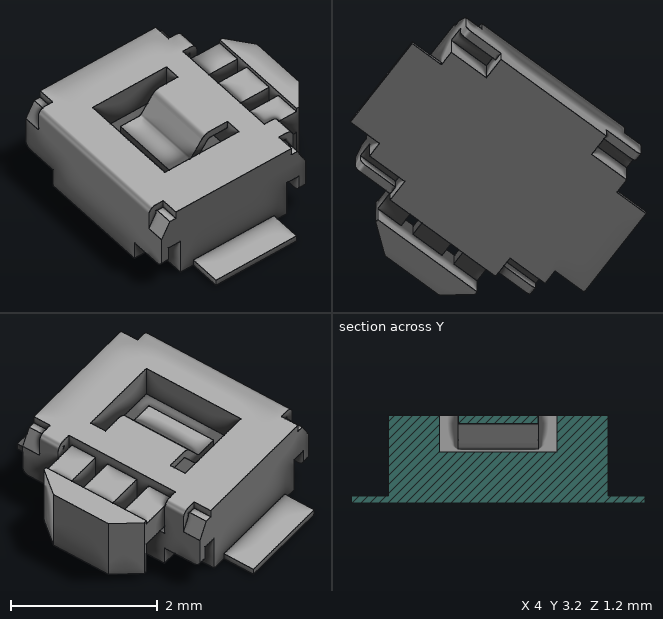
import cadquery as cq
import math


body_length = 3.0
body_width = 2.5
body_height = 1.2
sheet = 0.12
cover_bend_radius = 0.12
half_length = body_length / 2
half_width = body_width / 2
base_top = body_height - sheet

base_chamfer_width = 0.145
base_chamfer_height = 0.26
block_length = 1.8
block_height = 0.59
corner_recess = 0.33

notch_depth = 0.25
corner_notch_length = 0.28
flange_bottom = 0.3
flange_corner_radius = 0.1

window_length = 1.6
window_width = 1.28
window_floor = 0.7
tongue_length = 1.095
tongue_bend_start = 0.345
tongue_bend_end = -0.045
tongue_tip = -0.355
tongue_inner_radius = 0.07
tongue_angle = math.radians(53)

overall_length = 4.0
tab_width = 1.4
tab_thickness = 0.1

button_reach = 0.7
head_length = 1.7
head_tip_length = 0.93
head_depth = 0.35
head_bevel_depth = 0.305
head_bottom = 0.1
head_top = 1.1
stem_bottom = 0.64
stem_top = 1.04
center_leg_length = 0.495
side_leg_length = 0.4
stem_embed = 0.08


def box(length, width, bottom, top, x=0.0, y=0.0):
    """Box centred on (x, y) that spans bottom to top in Z."""
    return cq.Workplane("XY", origin=(x, y, bottom)).rect(length, width).extrude(top - bottom)


def extrude_along_x(profile, length):
    """Extrude a closed YZ profile symmetrically about X = 0."""
    return profile.close().extrude(length / 2, both=True)


def make_base():
    """Block with chamfered long edges, relieved below at its four corners."""
    profile = (
        cq.Workplane("YZ")
        .moveTo(-half_width, 0)
        .lineTo(half_width, 0)
        .lineTo(half_width, base_top - base_chamfer_height)
        .lineTo(half_width - base_chamfer_width, base_top)
        .lineTo(-half_width + base_chamfer_width, base_top)
        .lineTo(-half_width, base_top - base_chamfer_height)
    )
    base = extrude_along_x(profile, body_length)
    recess_length = (body_length - block_length) / 2
    recess_x = (body_length + block_length) / 4
    recess_y = half_width - corner_recess / 2
    for x in (-recess_x, recess_x):
        for y in (-recess_y, recess_y):
            base = base.cut(box(recess_length, corner_recess, 0, block_height, x, y))
    notch_y = half_width - notch_depth / 2
    base = base.cut(box(block_length, notch_depth, block_height, base_top, y=notch_y))
    return base.cut(box(window_length, window_width, window_floor, base_top))


def make_cover():
    """Top plate with a flange folded down along each long side."""
    inner_width = body_width - 2 * sheet
    cover = (
        box(body_length, body_width, flange_bottom, body_height)
        .edges("|X and >Z")
        .fillet(cover_bend_radius)
        .edges("|Y and <Z")
        .fillet(flange_corner_radius)
        .cut(box(body_length, inner_width, flange_bottom, base_top))
    )
    notch_x = half_length - corner_notch_length / 2
    notch_y = half_width - notch_depth / 2
    for y in (-notch_y, notch_y):
        cover = cover.cut(box(block_length, notch_depth, flange_bottom, block_height, y=y))
        for x in (-notch_x, notch_x):
            cover = cover.cut(box(corner_notch_length, notch_depth, block_height, body_height, x, y))
    cover = cover.cut(box(block_length, notch_depth, block_height, body_height, y=notch_y))
    return cover.cut(box(window_length, window_width, base_top, body_height))


def make_tongue():
    """Strip of constant thickness that is bent down and then level again."""
    inner = tongue_inner_radius
    outer = inner + sheet
    sine = math.sin(tongue_angle)
    cosine = math.cos(tongue_angle)
    half_sine = math.sin(tongue_angle / 2)
    half_cosine = math.cos(tongue_angle / 2)
    slope_run = tongue_bend_start - tongue_bend_end - (inner + outer) * sine
    drop = slope_run * math.tan(tongue_angle) + (inner + outer) * (1 - cosine)
    upper_z = body_height - outer
    lower_z = body_height - drop + inner

    def upper_bend(radius, side, up):
        return (tongue_bend_start - radius * side, upper_z + radius * up)

    def lower_bend(radius, side, up):
        return (tongue_bend_end + radius * side, lower_z - radius * up)

    profile = (
        cq.Workplane("YZ")
        .moveTo(window_width / 2, body_height)
        .lineTo(tongue_bend_start, body_height)
        .threePointArc(upper_bend(outer, half_sine, half_cosine), upper_bend(outer, sine, cosine))
        .lineTo(*lower_bend(inner, sine, cosine))
        .threePointArc(lower_bend(inner, half_sine, half_cosine), lower_bend(inner, 0, 1))
        .lineTo(tongue_tip, lower_z - inner)
        .lineTo(tongue_tip, lower_z - outer)
        .lineTo(*lower_bend(outer, 0, 1))
        .threePointArc(lower_bend(outer, half_sine, half_cosine), lower_bend(outer, sine, cosine))
        .lineTo(*upper_bend(inner, sine, cosine))
        .threePointArc(upper_bend(inner, half_sine, half_cosine), upper_bend(inner, 0, 1))
        .lineTo(window_width / 2, base_top)
    )
    return extrude_along_x(profile, tongue_length)


def make_button():
    """Bevelled head carried on three parallel legs that enter the base."""
    tip_y = half_width + button_reach
    head_y = tip_y - head_depth
    bevel_y = tip_y - head_bevel_depth
    button = (
        cq.Workplane("XY", origin=(0, 0, head_bottom))
        .moveTo(-head_length / 2, head_y)
        .lineTo(head_length / 2, head_y)
        .lineTo(head_length / 2, bevel_y)
        .lineTo(head_tip_length / 2, tip_y)
        .lineTo(-head_tip_length / 2, tip_y)
        .lineTo(-head_length / 2, bevel_y)
        .close()
        .extrude(head_top - head_bottom)
    )
    root_y = half_width - notch_depth - stem_embed
    leg_width = head_y - root_y
    leg_y = (head_y + root_y) / 2
    side_leg_x = (head_length - side_leg_length) / 2
    legs = ((-side_leg_x, side_leg_length), (0, center_leg_length), (side_leg_x, side_leg_length))
    for x, length in legs:
        button = button.union(box(length, leg_width, stem_bottom, stem_top, x, leg_y))
    return button


solder_tabs = box(overall_length, tab_width, 0, tab_thickness)

result = (
    make_base()
    .union(make_cover())
    .union(make_tongue())
    .union(solder_tabs)
    .union(make_button())
)